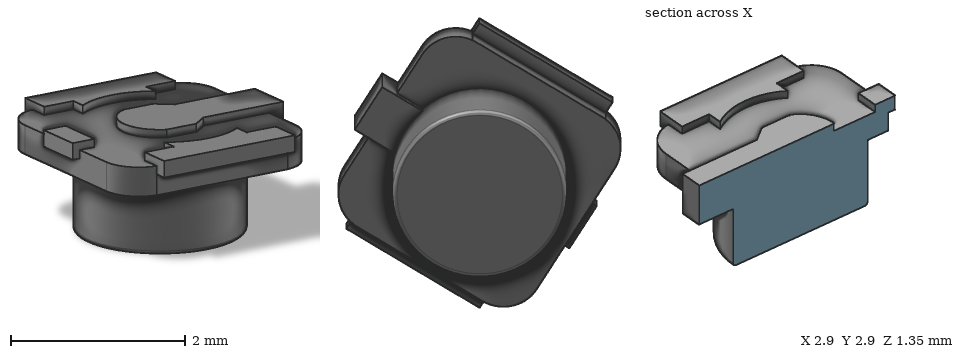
import cadquery as cq
import math

plate_size = 2.6
plate_thickness = 0.35
plate_corner_radius = 0.45

barrel_radius = 1.0
barrel_height = 0.9
barrel_edge_radius = 0.05

contact_thickness = 0.1
contact_drop = 0.1
contact_width = 0.6

ground_outer_x = 1.45
ground_strip_width = 0.4
ground_length = 1.8
ground_tongue_length = 1.0
ground_arc_middle_x = 1.0
ground_tongue_tip_x = 0.85

front_tab_outer_y = -1.4
front_tab_length = 0.3

signal_outer_y = 1.5
signal_neck_y = 0.4
signal_shoulder_y = 0.2
signal_pad_radius = 0.5
signal_pad_half_width = 0.455
signal_leg_below_plate = 0.1
signal_foot_inner_y = 0.7

half_plate = plate_size / 2
plate_top = barrel_height + plate_thickness
contact_top = plate_top + contact_thickness
lip_bottom = plate_top - contact_drop


def box(x_min, x_max, y_min, y_max, z_min, z_max):
    """Axis-aligned box between two opposite corners."""
    size = (x_max - x_min, y_max - y_min, z_max - z_min)
    return cq.Workplane("XY").box(*size, centered=False).translate((x_min, y_min, z_min))


def make_plate():
    """Square plate with rounded vertical corners."""
    plate = cq.Workplane("XY").workplane(offset=barrel_height).rect(plate_size, plate_size)
    return plate.extrude(plate_thickness).edges("|Z").fillet(plate_corner_radius)


def make_barrel():
    """Solid cylinder with a small round on its lower edge."""
    barrel = cq.Workplane("XY").circle(barrel_radius).extrude(barrel_height)
    return barrel.faces("<Z").edges().fillet(barrel_edge_radius)


def make_ground_contact():
    """Contact on the +X side: a strip, a tongue with a concave arc, a lip and a flush core."""
    strip_inner_x = ground_outer_x - ground_strip_width
    half_length = ground_length / 2
    half_tongue = ground_tongue_length / 2
    contact = (
        cq.Workplane("XY")
        .workplane(offset=plate_top)
        .moveTo(ground_outer_x, -half_length)
        .lineTo(ground_outer_x, half_length)
        .lineTo(strip_inner_x, half_length)
        .lineTo(strip_inner_x, half_tongue)
        .lineTo(ground_tongue_tip_x, half_tongue)
        .threePointArc((ground_arc_middle_x, 0), (ground_tongue_tip_x, -half_tongue))
        .lineTo(strip_inner_x, -half_tongue)
        .lineTo(strip_inner_x, -half_length)
        .close()
        .extrude(contact_thickness)
    )
    lip = box(half_plate, ground_outer_x, -half_length, half_length, lip_bottom, contact_top)
    core = box(strip_inner_x, half_plate, -half_length, half_length, barrel_height, plate_top)
    return contact.union(lip).union(core)


def make_front_tab():
    """Short tab that folds over the -Y edge of the plate."""
    half_width = contact_width / 2
    inner_y = front_tab_outer_y + front_tab_length
    tab = box(-half_width, half_width, front_tab_outer_y, inner_y, plate_top, contact_top)
    lip = box(-half_width, half_width, front_tab_outer_y, -half_plate, lip_bottom, contact_top)
    return tab.union(lip)


def make_signal_contact():
    """Strip from the +Y edge to a round centre pad, wrapped under the plate to the barrel."""
    half_width = contact_width / 2
    pad_arc_y = -math.sqrt(signal_pad_radius**2 - signal_pad_half_width**2)
    strip = (
        cq.Workplane("XY")
        .workplane(offset=plate_top)
        .moveTo(half_width, signal_outer_y)
        .lineTo(-half_width, signal_outer_y)
        .lineTo(-half_width, signal_neck_y)
        .lineTo(-signal_pad_half_width, signal_shoulder_y)
        .lineTo(-signal_pad_half_width, pad_arc_y)
        .threePointArc((0, -signal_pad_radius), (signal_pad_half_width, pad_arc_y))
        .lineTo(signal_pad_half_width, signal_shoulder_y)
        .lineTo(half_width, signal_neck_y)
        .close()
        .extrude(contact_thickness)
    )
    leg_bottom = barrel_height - signal_leg_below_plate
    leg = box(-half_width, half_width, half_plate, signal_outer_y, leg_bottom, contact_top)
    foot = box(-half_width, half_width, signal_foot_inner_y, signal_outer_y, leg_bottom, barrel_height)
    return strip.union(leg).union(foot)


ground_contact = make_ground_contact()
result = (
    make_plate()
    .union(make_barrel())
    .union(ground_contact)
    .union(ground_contact.mirror("YZ"))
    .union(make_front_tab())
    .union(make_signal_contact())
)